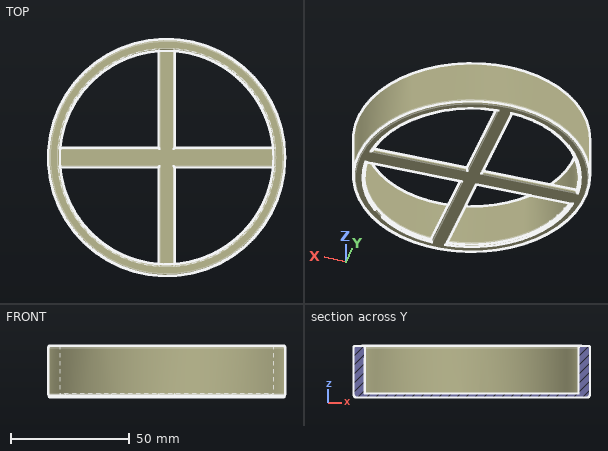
import cadquery as cq

outer_radius = 50.2
inner_radius = 45.2
height = 22.0
wall_fillet = 1.0
wall_bottom = 0.5

base_inset = 0.3
base_thickness = 1.8
base_fillet = 0.7
bar_width_x = 7.0
bar_width_y = 8.4

base_outer_radius = outer_radius - base_inset
base_inner_radius = inner_radius + base_inset
bar_length = base_outer_radius + base_inner_radius


def make_ring(outer, inner, bottom, top):
    """Plain ring about the Z axis between two heights."""
    return cq.Workplane("XY").workplane(offset=bottom).circle(outer).circle(inner).extrude(top - bottom)


def make_wall():
    """Tall ring, rounded at its top and bottom edges inside and outside."""
    wall = make_ring(outer_radius, inner_radius, wall_bottom, height)
    return wall.faces("|Z").edges().fillet(wall_fillet)


def make_base():
    """Flat ring joined by two crossing bars, rounded along its top and bottom edges."""
    on_floor = (True, True, False)
    rim = make_ring(base_outer_radius, base_inner_radius, 0, base_thickness)
    bar_along_x = cq.Workplane("XY").box(bar_length, bar_width_y, base_thickness, centered=on_floor)
    bar_along_y = cq.Workplane("XY").box(bar_width_x, bar_length, base_thickness, centered=on_floor)
    return rim.union(bar_along_x).union(bar_along_y).faces("|Z").edges().fillet(base_fillet)


result = make_wall().union(make_base())